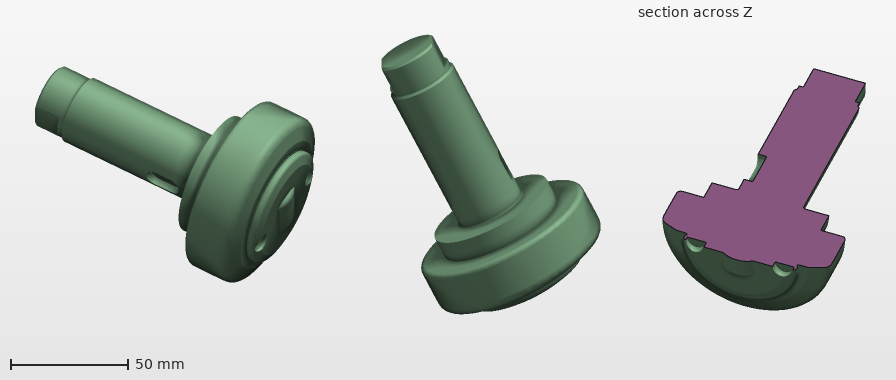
import cadquery as cq
import math

total_length = 119.5

neck_diameter = 28.0
neck_end = 14.0
neck_chamfer = 1.0
shaft_diameter = 30.0
shaft_chamfer = (shaft_diameter - neck_diameter) / 2
flange_diameter = 54.0
flange_start = 80.0
root_fillet = 1.0

flats_length = 12.0
flats_width = 24.0

keyway_start = 56.9
keyway_length = 16.0
keyway_width = 8.6
keyway_depth = 4.0

roller_diameter = 77.7
roller_start = 89.4
roller_end = 112.5
roller_fillet = 2.0
roller_shoulder_radius = 4.1
roller_face_diameter = 60.2
crown_radius = 499.5
bevel_angle = math.radians(20)

cap_diameter = 52.0
groove_diameter = 50.9
groove_start = 112.7
cap_start = 113.2
cap_end = 117.5
cap_face_diameter = 42.5
cap_edge_radius = 1.4

ridge_length = 20.8
ridge_width = 13.9
ridge_end_fillet = 2.3
spanner_hole_diameter = 8.6
spanner_hole_offset = 20.2
spanner_hole_depth = 3.0


def turned(outline):
    """Revolve a closed half profile (X, radius) about the X axis."""
    return outline.close().revolve(360, (0, 0, 0), (1, 0, 0))


def make_stud():
    neck_radius = neck_diameter / 2
    shaft_radius = shaft_diameter / 2
    fillet_offset = root_fillet * (1 - math.sqrt(0.5))
    return turned(
        cq.Workplane("XY")
        .lineTo(0, neck_radius - neck_chamfer)
        .lineTo(neck_chamfer, neck_radius)
        .lineTo(neck_end, neck_radius)
        .lineTo(neck_end + shaft_chamfer, shaft_radius)
        .lineTo(flange_start - root_fillet, shaft_radius)
        .threePointArc(
            (flange_start - fillet_offset, shaft_radius + fillet_offset),
            (flange_start, shaft_radius + root_fillet),
        )
        .lineTo(flange_start, flange_diameter / 2)
        .lineTo(roller_start, flange_diameter / 2)
        .lineTo(roller_start, 0)
    )


def bevel_start(face_x, face_radius, outer_radius):
    """X where a bevel ending at the given face meets the outer radius."""
    return face_x - (outer_radius - face_radius) * math.tan(bevel_angle)


def make_roller():
    outer_radius = roller_diameter / 2
    face_radius = roller_face_diameter / 2
    bevel_x = bevel_start(roller_end, face_radius, outer_radius)
    middle_x = (roller_start + bevel_x) / 2
    half_width = bevel_x - middle_x
    crown_drop = crown_radius - math.sqrt(crown_radius**2 - half_width**2)
    edge_radius = outer_radius - crown_drop
    blank = turned(
        cq.Workplane("XY")
        .moveTo(roller_start, 0)
        .lineTo(roller_start, edge_radius)
        .threePointArc((middle_x, outer_radius), (bevel_x, edge_radius))
        .lineTo(roller_end, face_radius)
        .lineTo(roller_end, 0)
    )
    shouldered = blank.faces("%CONE").edges("<X").fillet(roller_shoulder_radius)
    return shouldered.faces("<X").edges().fillet(roller_fillet)


def make_cap():
    outer_radius = cap_diameter / 2
    face_radius = cap_face_diameter / 2
    blank = turned(
        cq.Workplane("XY")
        .moveTo(roller_end, 0)
        .lineTo(roller_end, outer_radius)
        .lineTo(groove_start, outer_radius)
        .lineTo(groove_start, groove_diameter / 2)
        .lineTo(cap_start, groove_diameter / 2)
        .lineTo(cap_start, outer_radius)
        .lineTo(bevel_start(cap_end, face_radius, outer_radius), outer_radius)
        .lineTo(cap_end, face_radius)
        .lineTo(cap_end, 0)
    )
    return blank.faces("%CONE").edges("<X").fillet(cap_edge_radius)


def make_ridge():
    """Bar along Z with an arched top and rounded ends, rooted in the cap."""
    half_width = ridge_width / 2
    bar = (
        cq.Workplane("XY", origin=(0, 0, -ridge_length / 2))
        .moveTo(cap_start, -half_width)
        .lineTo(cap_end, -half_width)
        .threePointArc((total_length, 0), (cap_end, half_width))
        .lineTo(cap_start, half_width)
        .close()
        .extrude(ridge_length)
    )
    return bar.edges("%CIRCLE").fillet(ridge_end_fillet)


def make_flats_cutter():
    """Two blocks flanking the neck, leaving the flats between them."""
    from_end = (False, True, True)
    block = cq.Workplane("XY").box(flats_length, shaft_diameter, shaft_diameter, from_end)
    core = cq.Workplane("XY").box(flats_length, flats_width, shaft_diameter, from_end)
    return block.cut(core)


def make_keyway_cutter():
    return (
        cq.Workplane("XZ", origin=(keyway_start + keyway_length / 2, -shaft_diameter / 2, 0))
        .slot2D(keyway_length, keyway_width)
        .extrude(-keyway_depth)
    )


def make_spanner_hole_cutter():
    return (
        cq.Workplane("YZ", origin=(cap_end - spanner_hole_depth, 0, 0))
        .pushPoints([(-spanner_hole_offset, 0), (spanner_hole_offset, 0)])
        .circle(spanner_hole_diameter / 2)
        .extrude(spanner_hole_depth)
    )


stud = make_stud().cut(make_flats_cutter()).cut(make_keyway_cutter())
cap = make_cap().cut(make_spanner_hole_cutter())
result = stud.union(make_roller()).union(cap).union(make_ridge())